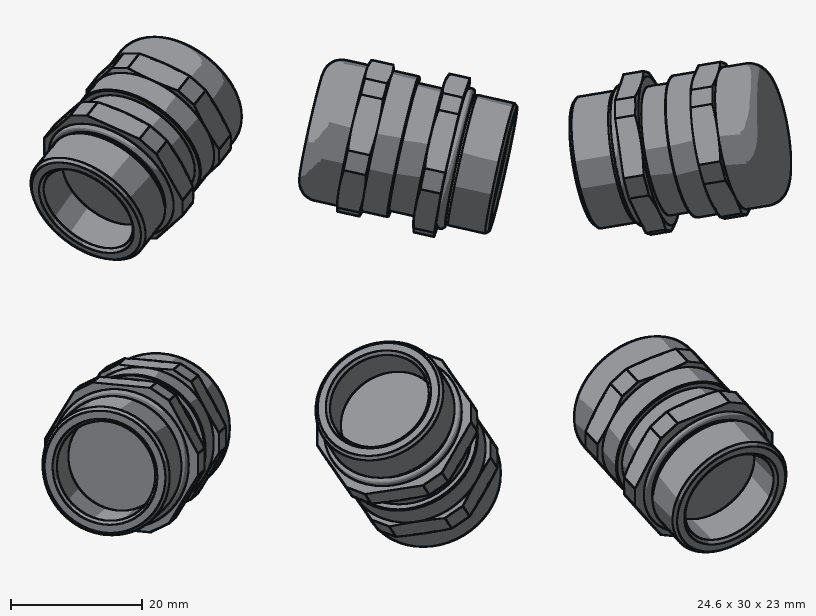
import cadquery as cq
import math

length = 30.0

thread_back = 6.72
gland_hex_front = 8.0
gland_hex_back = 11.5
nut_front = 15.5
nut_hex_front = 19.6
nut_hex_back = 23.5

thread_radius = 10.2
body_radius = 10.0

gland_flats = 23.0
gland_corners = 24.57
gland_bevel_angle = 20.0
nut_flats = 22.0
nut_corners = 23.5
nut_bevel_angle = 15.0

nut_radius = nut_flats / 2

thread_front_chamfer = 0.5
thread_back_chamfer = 0.42
nut_front_chamfer = 0.15
dome_fillet = 3.0

groove_radius = thread_radius - thread_back_chamfer

seal_section_radius = 0.63
seal_outer_radius = 10.98

bore_radius = 7.9
bore_chamfer = 0.5
bore_depth = 6.1


def cylinder(radius, front, back):
    """Solid cylinder on the Y axis between two stations."""
    return cq.Workplane("XZ", origin=(0, front, 0)).circle(radius).extrude(front - back)


def hexagon(across_flats, front, back):
    """Hexagonal prism on the Y axis with corners pointing along X."""
    corner_diameter = across_flats / math.cos(math.pi / 6)
    return cq.Workplane("XZ", origin=(0, front, 0)).polygon(6, corner_diameter).extrude(front - back)


def bevel_envelope(across_flats, bevel_angle, front, back, bevel_front):
    """Turned envelope whose coned ends start on the flats and break the hexagon corners."""
    flat_radius = across_flats / 2
    outer_radius = flat_radius / math.cos(math.pi / 6)
    bevel = (outer_radius - flat_radius) * math.tan(math.radians(bevel_angle))
    points = [(0, front)]
    if bevel_front:
        points += [(flat_radius, front), (outer_radius, front + bevel)]
    else:
        points += [(outer_radius, front)]
    points += [(outer_radius, back - bevel), (flat_radius, back), (0, back)]
    return cq.Workplane("XY").polyline(points).close().revolve(360, (0, 0, 0), (0, 1, 0))


def trimmed_hexagon(across_flats, across_corners, bevel_angle, front, back, bevel_front):
    """Hexagon with its six corners cut flat and its end edges bevelled."""
    corner_trim = hexagon(across_corners, front, back).rotate((0, 0, 0), (0, 1, 0), 30)
    envelope = bevel_envelope(across_flats, bevel_angle, front, back, bevel_front)
    return hexagon(across_flats, front, back).intersect(corner_trim).intersect(envelope)


def thread():
    """Plain threaded length with both ends chamfered."""
    barrel = cylinder(thread_radius, 0, thread_back)
    barrel = barrel.faces("<Y").chamfer(thread_front_chamfer)
    return barrel.faces(">Y").chamfer(thread_back_chamfer)


def seal():
    """Round-section sealing ring resting against the gland hexagon."""
    centre_radius = seal_outer_radius - seal_section_radius
    centre_y = gland_hex_front - seal_section_radius
    section_plane = cq.Plane((centre_radius, centre_y, 0), (-1, 0, 0), (0, 0, 1))
    section = cq.Workplane(section_plane).circle(seal_section_radius)
    return section.revolve(360, (centre_radius, 0, 0), (centre_radius, 1, 0))


def gland_hexagon():
    """Hexagon behind the sealing ring, bevelled on its rear end only."""
    return trimmed_hexagon(
        gland_flats, gland_corners, gland_bevel_angle, gland_hex_front, gland_hex_back, bevel_front=False
    )


def cap_nut():
    """Domed cap nut with a hexagon around its middle."""
    barrel = cylinder(nut_radius, nut_front, length)
    barrel = barrel.faces(">Y").edges().fillet(dome_fillet)
    barrel = barrel.faces("<Y").edges().chamfer(nut_front_chamfer)
    grip = trimmed_hexagon(
        nut_flats, nut_corners, nut_bevel_angle, nut_hex_front, nut_hex_back, bevel_front=True
    )
    return barrel.union(grip)


def bore():
    """Blind bore with a chamfered mouth."""
    mouth_radius = bore_radius + bore_chamfer
    points = [
        (0, 0),
        (mouth_radius, 0),
        (bore_radius, bore_chamfer),
        (bore_radius, bore_depth),
        (0, bore_depth),
    ]
    return cq.Workplane("XY").polyline(points).close().revolve(360, (0, 0, 0), (0, 1, 0))


result = (
    thread()
    .union(cylinder(groove_radius, thread_front_chamfer, gland_hex_front))
    .union(seal())
    .union(gland_hexagon())
    .union(cylinder(body_radius, gland_hex_front, nut_front))
    .union(cap_nut())
    .cut(bore())
)